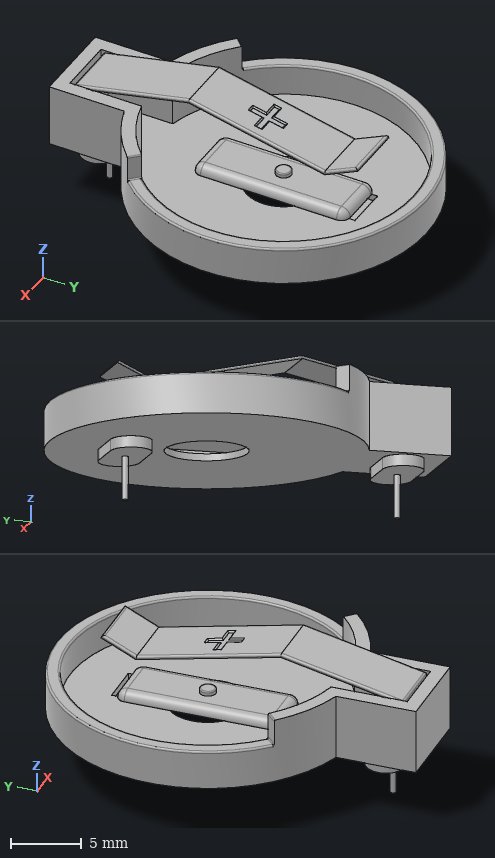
import cadquery as cq
import math

overall_length = 28.5

outer_radius = 11.49
inner_radius = 10.43
floor_height = 0.5
rim_height = 3.0
wall_height = 5.0
rim_round = 0.15
step_round = 0.09
wall_half_angle = 45
floor_hole_radius = 3.0

block_width = 6.78
block_end_y = outer_radius - overall_length
block_wall = 1.08
pocket_width = 4.55
pocket_end_y = block_end_y + block_wall

foot_length = 5.98
foot_width = 3.0
foot_height = 0.83
pin_diameter = 0.45
pin_tip_z = -4.05
pin_chamfer = 0.09
pin_positions_y = (5.98, -14.0)

pad_width = 4.45
pad_length = 12.37
pad_height = 0.75
pad_round = 0.7
pad_top_z = floor_height + pad_height
rivet_diameter = 1.2
rivet_height = 0.35
rivet_round = 0.09
tail_slot_width = 3.3
tail_slot_end_y = 6.65
tail_slot_length = 1.15

spring_thickness = 0.25
spring_edge_round = 0.17
spring_tip = (7.1, 5.65)
spring_valley = (4.53, 4.45)
spring_peak = (-6.38, 6.87)
spring_heel = (-15.65, 4.87)

plus_size = 2.88
plus_arm_width = 0.63
plus_depth = 0.1
plus_taper = 45
plus_y = -1.25

wall_angle = math.radians(wall_half_angle)
middle_radius = (inner_radius + outer_radius) / 2
wall_tip_x = middle_radius * math.sin(wall_angle)
wall_tip_y = -middle_radius * math.cos(wall_angle)


def make_low_zone():
    """Cutter that lowers the wall to the rim, except in a sector towards -Y."""
    reach = 2 * outer_radius
    spread = reach * math.tan(wall_angle)
    zone = (
        cq.Workplane("XY")
        .workplane(offset=rim_height)
        .polyline([(0, 0), (spread, -reach), (spread, reach), (-spread, reach), (-spread, -reach)])
        .close()
        .extrude(wall_height)
    )
    for x in (-spread / 2, spread / 2):
        lower_edge = cq.selectors.NearestToPointSelector((x, -reach / 2, rim_height))
        zone = zone.edges(lower_edge).fillet(step_round)
    return zone


def make_rim_rounding(radius, side):
    """Cutter for one rounded rim edge; side is the radial direction into the rim."""
    clearance = math.degrees(step_round / radius)
    sweep = 360 - 2 * (wall_half_angle + clearance)
    arc_inset = rim_round * (1 - math.sqrt(0.5))
    return (
        cq.Workplane("XZ")
        .moveTo(radius, rim_height)
        .lineTo(radius + side * rim_round, rim_height)
        .threePointArc(
            (radius + side * arc_inset, rim_height - arc_inset),
            (radius, rim_height - rim_round),
        )
        .close()
        .revolve(sweep, (0, 0, 0), (0, 1, 0))
        .rotate((0, 0, 0), (0, 0, 1), wall_half_angle + clearance - 90)
    )


def make_tray():
    """Tray and terminal block with the bowl, the spring pocket and the floor openings."""
    block = (
        cq.Workplane("XY")
        .box(block_width, -block_end_y, wall_height, centered=(True, False, False))
        .translate((0, block_end_y, 0))
    )
    body = cq.Workplane("XY").circle(outer_radius).extrude(wall_height)
    body = body.union(block).cut(make_low_zone())

    bowl = cq.Workplane("XY").workplane(offset=floor_height).circle(inner_radius).extrude(wall_height)
    pocket = (
        cq.Workplane("XY")
        .box(pocket_width, -pocket_end_y, wall_height, centered=(True, False, False))
        .translate((0, pocket_end_y, floor_height))
    )
    hole = cq.Workplane("XY").circle(floor_hole_radius).extrude(floor_height)
    tail_slot = (
        cq.Workplane("XY")
        .center(0, tail_slot_end_y - tail_slot_length / 2)
        .rect(tail_slot_width, tail_slot_length)
        .extrude(floor_height)
    )
    body = body.cut(bowl).cut(pocket).cut(hole).cut(tail_slot)

    for x in (-wall_tip_x, wall_tip_x):
        top_edge = cq.selectors.NearestToPointSelector((x, wall_tip_y, wall_height))
        body = body.edges(top_edge).fillet(step_round)
    for radius, side in ((outer_radius, -1), (inner_radius, 1)):
        body = body.cut(make_rim_rounding(radius, side))
    return body


def make_foot_and_pin(y):
    """Obround foot with a solder pin below it, centred on X = 0."""
    foot = cq.Workplane("XY").center(0, y).slot2D(foot_length, foot_width).extrude(-foot_height)
    pin = cq.Workplane("XY").center(0, y).circle(pin_diameter / 2).extrude(pin_tip_z)
    return foot.union(pin.faces("<Z").chamfer(pin_chamfer))


def make_pad():
    """Pillow-shaped pad with the rivet head on top."""
    pad = (
        cq.Workplane("XY")
        .workplane(offset=floor_height)
        .rect(pad_width, pad_length)
        .extrude(pad_height)
        .edges("|Z")
        .fillet(pad_round)
        .faces(">Z")
        .edges()
        .fillet(pad_round)
    )
    rivet = cq.Workplane("XY").workplane(offset=pad_top_z).circle(rivet_diameter / 2).extrude(rivet_height)
    return pad.union(rivet.faces(">Z").edges().fillet(rivet_round))


def make_plus():
    """Plus-shaped cutter lying in the spring's slope between its peak and its valley."""
    run = spring_valley[0] - spring_peak[0]
    rise = spring_valley[1] - spring_peak[1]
    centre_z = spring_peak[1] + rise * (plus_y - spring_peak[0]) / run
    slope = cq.Plane(origin=(0, plus_y, centre_z), xDir=(1, 0, 0), normal=(0, -rise, run))
    arm = cq.Workplane(slope).rect(plus_size, plus_arm_width).extrude(-plus_depth, taper=plus_taper)
    cross_arm = arm.rotate(slope.origin.toTuple(), (slope.origin + slope.zDir).toTuple(), 90)
    return arm.union(cross_arm)


def spring_edge(leaf, point):
    """Edge of the leaf whose middle is nearest to the point."""
    return leaf.edges(cq.selectors.NearestToPointSelector(point)).val()


def offset_line(top_line):
    """Points of the spring's underside: each top corner moved along its bisector."""
    units = []
    for start, end in zip(top_line, top_line[1:]):
        length = math.dist(start, end)
        units.append(((end[0] - start[0]) / length, (end[1] - start[1]) / length))
    underside = []
    for i, (y, z) in enumerate(top_line):
        before = units[max(i - 1, 0)]
        after = units[min(i, len(units) - 1)]
        scale = spring_thickness / (1 + before[0] * after[0] + before[1] * after[1])
        underside.append((y - (before[1] + after[1]) * scale, z + (before[0] + after[0]) * scale))
    return underside


def make_spring():
    """Bent leaf with a vertical leg standing on the pocket floor."""
    bends = [spring_tip, spring_valley, spring_peak, spring_heel]
    top_line = bends + [(spring_heel[0], floor_height)]
    leaf = (
        cq.Workplane("YZ")
        .polyline(top_line + offset_line(top_line)[::-1])
        .close()
        .extrude(pocket_width / 2, both=True)
    )
    rounded_edges = [spring_edge(leaf, (0,) + corner) for corner in (spring_tip, spring_heel)]
    for side in (-1, 1):
        for start, end in zip(bends, bends[1:]):
            middle = (side * pocket_width / 2, (start[0] + end[0]) / 2, (start[1] + end[1]) / 2)
            rounded_edges.append(spring_edge(leaf, middle))
    leaf = leaf.newObject(rounded_edges).fillet(spring_edge_round)
    return leaf.cut(make_plus())


result = make_tray().union(make_pad()).union(make_spring())
for y in pin_positions_y:
    result = result.union(make_foot_and_pin(y))